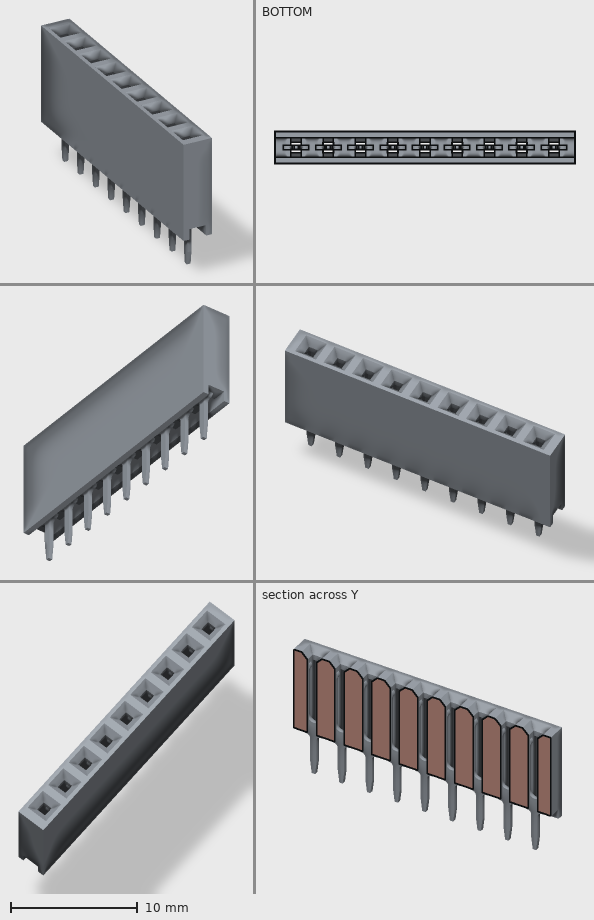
import cadquery as cq
import math


contact_count = 9
housing_length = 23.65
housing_height = 8.5
end_wall = 0.4
pitch = (housing_length - 2 * end_wall) / contact_count
housing_depth = pitch

channel_width = 1.51
channel_height = 0.92

mouth_size = 1.87
throat_size = 0.8
funnel_depth = 0.55
throat_height = 0.47
bore_depth = channel_width
bore_top = housing_height - funnel_depth - throat_height

contact_thickness = 0.35
tail_width = 0.6
tail_length = 3.0
tip_width = 0.3
tip_height = 1.14
shoulder_radius = 0.35
shoulder_start = 0.28
fork_width = tail_width + 4 * shoulder_radius
fork_slot_width = 1.05
fork_slot_bottom = 1.9
contact_gap = 0.65
contact_bump_height = 0.7

contact_positions = [(i - (contact_count - 1) / 2) * pitch for i in range(contact_count)]


def make_funnel(x):
    """Square tapered entry of one socket, narrowing down to the throat."""
    taper = math.degrees(math.atan((mouth_size - throat_size) / 2 / funnel_depth))
    return (
        cq.Workplane("XY", origin=(x, 0, housing_height))
        .rect(mouth_size, mouth_size)
        .extrude(-funnel_depth, taper=taper)
    )


def make_throat(x):
    """Straight square hole from the funnel down to the bore."""
    return (
        cq.Workplane("XY", origin=(x, 0, bore_top))
        .rect(throat_size, throat_size)
        .extrude(throat_height)
    )


def make_bore(x):
    """Bore as wide as the throat but deeper across the row, open to the channel below."""
    return (
        cq.Workplane("XY", origin=(x, 0, channel_height))
        .rect(throat_size, bore_depth)
        .extrude(bore_top - channel_height)
    )


def make_contact_slot(x):
    """Narrow slot that holds the fork on both sides of the bore."""
    return (
        cq.Workplane("XY", origin=(x, 0, channel_height))
        .rect(fork_width, contact_thickness)
        .extrude(bore_top - channel_height)
    )


def make_housing():
    """Block with a channel underneath and one socket per contact."""
    housing = cq.Workplane("XY").box(
        housing_length, housing_depth, housing_height, centered=(True, True, False)
    )
    channel = cq.Workplane("XY").box(
        housing_length, channel_width, channel_height, centered=(True, True, False)
    )
    housing = housing.cut(channel)
    for x in contact_positions:
        housing = housing.cut(make_funnel(x)).cut(make_throat(x))
        housing = housing.cut(make_bore(x)).cut(make_contact_slot(x))
    return housing


def make_contact(x):
    """Flat fork with inward-bulging tips, round-bottomed slot, S-curved shoulders and tapered tail."""
    half_tip = tip_width / 2
    half_tail = tail_width / 2
    half_fork = fork_width / 2
    half_slot = fork_slot_width / 2
    shoulder_middle = shoulder_start + shoulder_radius
    shoulder_end = shoulder_middle + shoulder_radius
    bump_bottom = bore_top - contact_bump_height
    bump_middle = (bore_top + bump_bottom) / 2
    slot_arc_end = fork_slot_bottom + half_slot

    half_outline = (
        cq.Workplane("XZ", origin=(x, contact_thickness / 2, 0))
        .moveTo(0, -tail_length)
        .lineTo(half_tip, -tail_length)
        .lineTo(half_tail, tip_height - tail_length)
        .lineTo(half_tail, shoulder_start)
        .radiusArc((half_tail + shoulder_radius, shoulder_middle), shoulder_radius)
        .radiusArc((half_fork, shoulder_end), -shoulder_radius)
        .lineTo(half_fork, bore_top)
        .lineTo(half_slot, bore_top)
        .threePointArc((contact_gap / 2, bump_middle), (half_slot, bump_bottom))
        .lineTo(half_slot, slot_arc_end)
        .radiusArc((0, fork_slot_bottom), half_slot)
    )
    return half_outline.mirrorY().extrude(contact_thickness)


housing = make_housing()
contacts = [make_contact(x) for x in contact_positions]

result = cq.Compound.makeCompound([housing.val(), *[contact.val() for contact in contacts]])